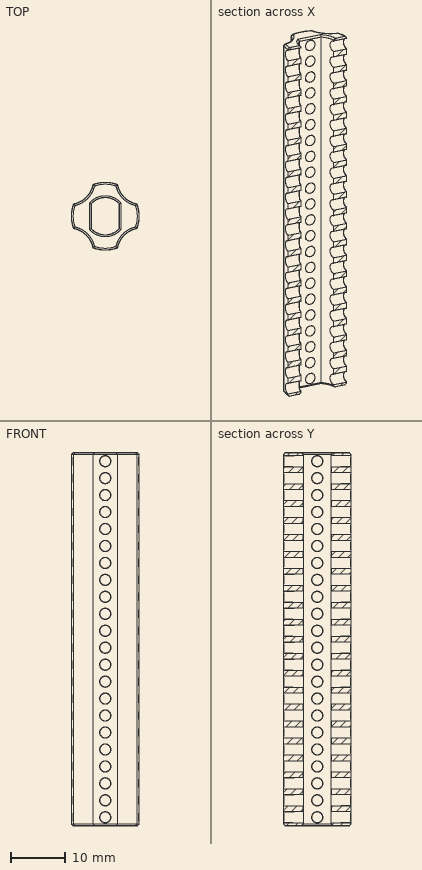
import cadquery as cq
import math

LENGTH = 68.75
OUTER_DIAMETER = 12.5
GROOVE_RADIUS = 4.5
GROOVE_FLOOR_DISTANCE = 4.95
GROOVE_COUNT = 4
BORE_DIAMETER = 6.9
BORE_FLAT_SPACING = 5.15
END_CHAMFER = 0.35
HOLE_DIAMETER = 2.0
HOLES_PER_ROW = 22

HOLE_PITCH = LENGTH / HOLES_PER_ROW
GROOVE_CENTER_DISTANCE = GROOVE_FLOOR_DISTANCE + GROOVE_RADIUS
FIRST_GROOVE_ANGLE = 180 / GROOVE_COUNT


def grooved_bar():
    """Round bar with concave grooves on its diagonals, leaving a lobe on each axis."""
    bar = cq.Workplane("XY").circle(OUTER_DIAMETER / 2).extrude(LENGTH)
    grooves = (
        cq.Workplane("XY")
        .polarArray(GROOVE_CENTER_DISTANCE, FIRST_GROOVE_ANGLE, 360, GROOVE_COUNT)
        .circle(GROOVE_RADIUS)
        .extrude(LENGTH)
    )
    return bar.cut(grooves)


def bore():
    """Full-length round core with two flats facing X."""
    radius = BORE_DIAMETER / 2
    flat_x = BORE_FLAT_SPACING / 2
    corner_y = math.sqrt(radius**2 - flat_x**2)
    return (
        cq.Workplane("XY")
        .moveTo(flat_x, -corner_y)
        .lineTo(flat_x, corner_y)
        .threePointArc((0, radius), (-flat_x, corner_y))
        .lineTo(-flat_x, -corner_y)
        .threePointArc((0, -radius), (flat_x, -corner_y))
        .close()
        .extrude(LENGTH)
    )


def hole_row(plane):
    """Evenly spaced pins that drill one row of holes through two opposite lobes."""
    centers = [(0, (index + 0.5) * HOLE_PITCH) for index in range(HOLES_PER_ROW)]
    return (
        cq.Workplane(plane)
        .pushPoints(centers)
        .circle(HOLE_DIAMETER / 2)
        .extrude(OUTER_DIAMETER, both=True)
    )


tube = grooved_bar().cut(bore())

tube = tube.faces("<Z or >Z").chamfer(END_CHAMFER)

result = tube.cut(hole_row("XZ")).cut(hole_row("YZ"))